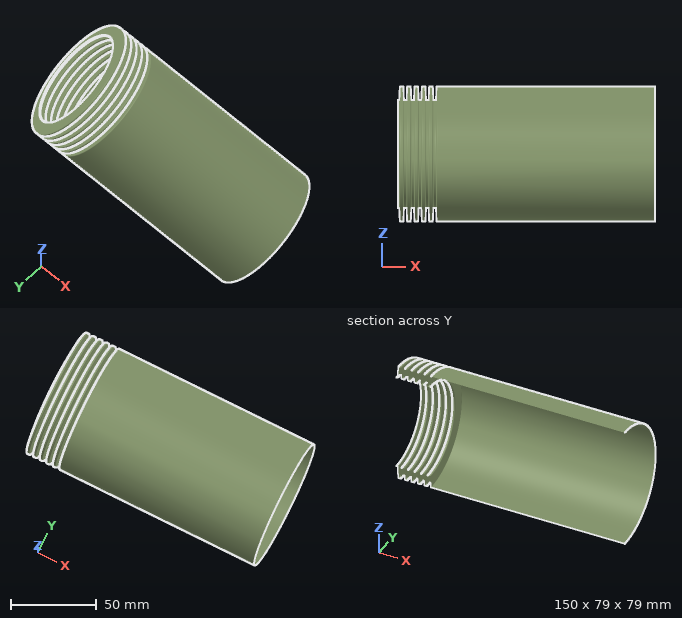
import cadquery as cq
import math


TOTAL_LENGTH = 150.0
OUTER_DIAMETER = 79.0
BORE_DIAMETER = 62.2
WALL = 0.45

CREST_COUNT = 5
PITCH = 4.285
FLANK_ANGLE = 2.2
INNER_BEND_RADIUS = 0.1

OUTER_BEND_RADIUS = INNER_BEND_RADIUS + WALL
HALF_WALL = WALL / 2
CREST_RADIUS = OUTER_DIAMETER / 2 - HALF_WALL
ROOT_RADIUS = BORE_DIAMETER / 2 + HALF_WALL
FLANK_RAD = math.radians(FLANK_ANGLE)
FLANK_RUN = (CREST_RADIUS - ROOT_RADIUS) * math.tan(FLANK_RAD)
CORNER_SHIFT = HALF_WALL * (1 - math.sin(FLANK_RAD)) / math.cos(FLANK_RAD)


def flank(start_center, start_radius, end_radius):
    """Two corners, as (x, radius, lean), of the flank that follows a root or crest center.

    The lean is -1 on a flank that rises toward +X and 1 on one that falls.
    """
    middle = start_center + PITCH / 4
    lean = -1 if end_radius > start_radius else 1
    return [
        (middle - FLANK_RUN / 2, start_radius, lean),
        (middle + FLANK_RUN / 2, end_radius, lean),
    ]


def bend_corners():
    """All sharp corners of the wall's middle line, from the -X end to the plain tube."""
    corners = []
    for i in range(CREST_COUNT):
        root_center = i * PITCH
        crest_center = root_center + PITCH / 2
        corners += flank(root_center, ROOT_RADIUS, CREST_RADIUS)
        corners += flank(crest_center, CREST_RADIUS, ROOT_RADIUS)
    return corners + flank(CREST_COUNT * PITCH, ROOT_RADIUS, CREST_RADIUS)


def wall_side(corners, side):
    """Sharp points of one face of the wall: side 1 is the outside, -1 the inside."""
    bends = [(x + side * lean * CORNER_SHIFT, r + side * HALF_WALL) for x, r, lean in corners]
    start = (0.0, ROOT_RADIUS + side * HALF_WALL)
    end = (TOTAL_LENGTH, CREST_RADIUS + side * HALF_WALL)
    return [start] + bends + [end]


def round_bends(face):
    """Round the convex and concave side of every bend about a shared center."""
    crest_outside = OUTER_DIAMETER / 2
    root_inside = BORE_DIAMETER / 2
    tolerance = HALF_WALL
    wide = []
    tight = []
    for vertex in face.Vertices():
        if vertex.X < tolerance or vertex.X > TOTAL_LENGTH - tolerance:
            continue
        on_outer_limit = abs(vertex.Y - crest_outside) < tolerance
        on_inner_limit = abs(vertex.Y - root_inside) < tolerance
        if on_outer_limit or on_inner_limit:
            wide.append(vertex)
        else:
            tight.append(vertex)
    face = face.fillet2D(OUTER_BEND_RADIUS, wide)
    return face.fillet2D(INNER_BEND_RADIUS, tight)


def wall_section():
    """Closed wall section in the XY plane, X along the axis and Y as the radius."""
    corners = bend_corners()
    outline = wall_side(corners, 1) + wall_side(corners, -1)[::-1]
    wire = cq.Workplane("XY").polyline(outline).close().val()
    return round_bends(cq.Face.makeFromWires(wire))


axis_start = cq.Vector(0, 0, 0)
axis_end = cq.Vector(1, 0, 0)
tube = cq.Solid.revolve(wall_section(), 360, axis_start, axis_end)
result = cq.Workplane("XY").newObject([tube])